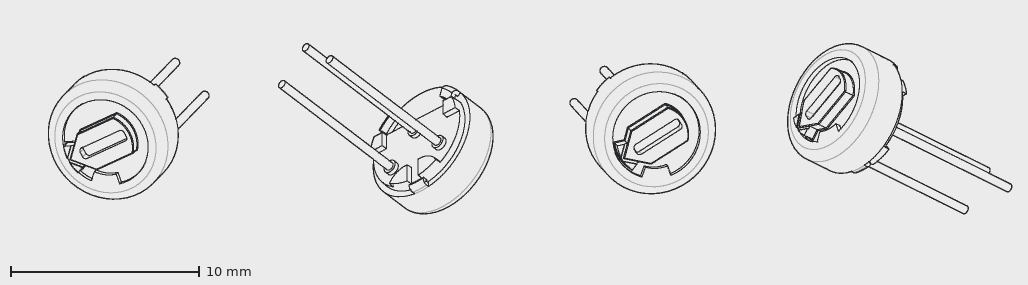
import cadquery as cq
import math

HOUSING_RADIUS = 3.34
HOUSING_DEPTH = 2.26
FRONT_EDGE_RADIUS = 0.5
TOTAL_LENGTH = 12.29

RECESS_RADIUS = 2.4
RECESS_DEPTH = 0.3
STOP_INNER_RADIUS = 1.83
STOP_ANGLE = 270.0
STOP_HALF_ANGLE = 19.5

DIAL_ANGLE = 210.0
DIAL_HEIGHT = 0.36
DIAL_HALF_WIDTH = 1.1
DIAL_TAIL_RADIUS = 1.68
DIAL_TIP = 2.18
DIAL_SHOULDER = DIAL_TIP - DIAL_HALF_WIDTH
DIAL_CHAMFER = 0.05
FOOT_CHAMFER = 0.05
FOOT_SLOPE_ANGLE = 45.0
SLOT_LENGTH = 2.83
SLOT_WIDTH = 0.64
SLOT_CORNER_RADIUS = 0.18
SLOT_DEPTH = 0.55

FLANK_RADIUS = 2.26
FLANK_HALF_ANGLE = 21.0
GROOVE_WIDTH = 0.15
GROOVE_DEPTH = 0.07

DRAFT_ANGLE = 3.0
BASE_RADIUS = 3.0
BASE_FLAT = 1.32
BASE_DEPTH = 0.4
STANDOFF_DEPTH = 0.74
SIDE_STANDOFF_INNER = 2.06
SIDE_STANDOFF_BOTTOM = 0.33
LOWER_STANDOFF_INNER = 0.35
LOWER_STANDOFF_TOP = -1.8
LOWER_ARC_START = 0.5
LOWER_ARC_RADIUS = 1.29

TAB_ANGLES = (45.0, 135.0, 270.0)
TAB_WIDTH = 0.97
TAB_THICKNESS = 0.26
TAB_HEIGHT = 0.45
TAB_BEND_RADIUS = 0.3
TAB_TIP_RADIUS = 2.64
TAB_TIP_HEIGHT = 0.28
TAB_GAP_TIP_RADIUS = 2.74
TAB_GAP_HEIGHT = 0.18

PIN_RADIUS = 0.23
PIN_SPACING = 1.65
SIDE_PIN_HEIGHT = -1.24
MIDDLE_PIN_HEIGHT = 0.43
COLLAR_RADIUS = 0.38
COLLAR_DEPTH = 0.66

REAR_END = TOTAL_LENGTH - DIAL_HEIGHT


def sketch(y):
    """Workplane at depth y: local x is X, local y is Z; a negative extrusion goes to the rear (+Y)."""
    return cq.Workplane(cq.Plane(origin=(0, y, 0), xDir=(1, 0, 0), normal=(0, -1, 0)))


def polar(radius, degrees):
    angle = math.radians(degrees)
    return (radius * math.cos(angle), radius * math.sin(angle))


def disk(radius, y, depth):
    return sketch(y).circle(radius).extrude(-depth)


def sector(inner, outer, middle_angle, half_angle, y, depth):
    """Ring sector centred on middle_angle."""
    start = middle_angle - half_angle
    end = middle_angle + half_angle
    return (
        sketch(y)
        .moveTo(*polar(inner, start))
        .lineTo(*polar(outer, start))
        .threePointArc(polar(outer, middle_angle), polar(outer, end))
        .lineTo(*polar(inner, end))
        .threePointArc(polar(inner, middle_angle), polar(inner, start))
        .close()
        .extrude(-depth)
    )


def turn_about_y(body, degrees):
    """Turn counter-clockwise as seen from the front."""
    return body.rotate((0, 0, 0), (0, -1, 0), degrees)


def make_housing():
    housing = disk(HOUSING_RADIUS, 0, HOUSING_DEPTH).edges("<Y").fillet(FRONT_EDGE_RADIUS)
    recess = disk(RECESS_RADIUS, 0, RECESS_DEPTH)
    stop = sector(STOP_INNER_RADIUS, RECESS_RADIUS, STOP_ANGLE, STOP_HALF_ANGLE, 0, RECESS_DEPTH)
    return housing.cut(recess.cut(stop))


def dial_outline(workplane):
    """Arrow pointing to local +X with a round tail."""
    tail = -math.sqrt(DIAL_TAIL_RADIUS**2 - DIAL_HALF_WIDTH**2)
    return (
        workplane.moveTo(DIAL_TIP, 0)
        .lineTo(DIAL_SHOULDER, DIAL_HALF_WIDTH)
        .lineTo(tail, DIAL_HALF_WIDTH)
        .threePointArc((-DIAL_TAIL_RADIUS, 0), (tail, -DIAL_HALF_WIDTH))
        .lineTo(DIAL_SHOULDER, -DIAL_HALF_WIDTH)
        .close()
    )


def flank_outline(workplane):
    """Pie slice around local +X that reaches past both sides of the dial tip."""
    return (
        workplane.lineTo(*polar(FLANK_RADIUS, -FLANK_HALF_ANGLE))
        .threePointArc((FLANK_RADIUS, 0), polar(FLANK_RADIUS, FLANK_HALF_ANGLE))
        .close()
    )


def raise_from_recess(outline):
    """Full-height body standing on the recess floor, with a chamfered foot."""
    body = outline(sketch(-DIAL_HEIGHT)).extrude(-(DIAL_HEIGHT + RECESS_DEPTH))
    foot = (
        outline(sketch(RECESS_DEPTH))
        .offset2D(FOOT_CHAMFER, "intersection")
        .extrude(FOOT_CHAMFER, taper=FOOT_SLOPE_ANGLE)
    )
    return body, foot


def make_dial():
    arrow, arrow_foot = raise_from_recess(dial_outline)
    arrow = arrow.faces("<Y").chamfer(DIAL_CHAMFER)
    flanks, flank_foot = raise_from_recess(flank_outline)
    groove = (
        dial_outline(sketch(-DIAL_HEIGHT))
        .offset2D(GROOVE_WIDTH, "intersection")
        .extrude(-GROOVE_DEPTH)
    )
    dial = flanks.cut(groove).union(flank_foot).union(arrow).union(arrow_foot)
    return turn_about_y(dial, DIAL_ANGLE)


def make_slot():
    slot = (
        sketch(-DIAL_HEIGHT)
        .rect(SLOT_LENGTH, SLOT_WIDTH)
        .extrude(-SLOT_DEPTH)
        .edges("|Y")
        .fillet(SLOT_CORNER_RADIUS)
    )
    return turn_about_y(slot, DIAL_ANGLE)


def below_flat():
    """Tall block whose drafted top cuts the base flat."""
    size = 4 * BASE_RADIUS
    return (
        sketch(HOUSING_DEPTH)
        .center(0, BASE_FLAT - size / 2)
        .rect(size, size)
        .extrude(-STANDOFF_DEPTH, taper=DRAFT_ANGLE)
    )


def side_standoff():
    """Block that starts at a fixed inner side and bottom and overshoots the base outward and upward."""
    size = BASE_RADIUS
    return (
        sketch(HOUSING_DEPTH)
        .center(SIDE_STANDOFF_INNER + size / 2, SIDE_STANDOFF_BOTTOM + size / 2)
        .rect(size, size)
        .extrude(-STANDOFF_DEPTH, taper=DRAFT_ANGLE)
    )


def lower_standoff():
    """Block with a short flat top that rounds down toward the outer side."""
    arc_centre_z = LOWER_STANDOFF_TOP - LOWER_ARC_RADIUS
    arc_middle = LOWER_ARC_RADIUS * math.sqrt(0.5)
    arc_end_x = LOWER_ARC_START + LOWER_ARC_RADIUS
    floor_z = -2 * BASE_RADIUS
    return (
        sketch(HOUSING_DEPTH)
        .moveTo(LOWER_STANDOFF_INNER, LOWER_STANDOFF_TOP)
        .lineTo(LOWER_ARC_START, LOWER_STANDOFF_TOP)
        .threePointArc(
            (LOWER_ARC_START + arc_middle, arc_centre_z + arc_middle),
            (arc_end_x, arc_centre_z),
        )
        .lineTo(arc_end_x, floor_z)
        .lineTo(LOWER_STANDOFF_INNER, floor_z)
        .close()
        .extrude(-STANDOFF_DEPTH, taper=DRAFT_ANGLE)
    )


def make_base():
    """Drafted base plate with a pair of side standoffs and a pair of lower standoffs."""
    envelope = sketch(HOUSING_DEPTH).circle(BASE_RADIUS).extrude(-STANDOFF_DEPTH, taper=DRAFT_ANGLE)
    right_standoffs = side_standoff().union(lower_standoff())
    base = (
        disk(2 * BASE_RADIUS, HOUSING_DEPTH, BASE_DEPTH)
        .union(right_standoffs)
        .union(right_standoffs.mirror("YZ"))
    )
    return envelope.intersect(below_flat()).intersect(base)


def make_tab(angle):
    """Strip of the housing wall bent inward over the base, cut from a ring of the same section."""
    rear = HOUSING_DEPTH
    bend_start = HOUSING_RADIUS - TAB_BEND_RADIUS
    bend_base = rear + TAB_HEIGHT - TAB_BEND_RADIUS
    bend_middle = TAB_BEND_RADIUS * math.sqrt(0.5)
    inner_wall = HOUSING_RADIUS - TAB_THICKNESS
    ring = (
        cq.Workplane("XY")
        .moveTo(HOUSING_RADIUS, rear)
        .lineTo(HOUSING_RADIUS, bend_base)
        .threePointArc(
            (bend_start + bend_middle, bend_base + bend_middle),
            (bend_start, rear + TAB_HEIGHT),
        )
        .lineTo(TAB_TIP_RADIUS, rear + TAB_TIP_HEIGHT)
        .lineTo(TAB_TIP_RADIUS, rear)
        .lineTo(TAB_GAP_TIP_RADIUS, rear)
        .lineTo(inner_wall, rear + TAB_GAP_HEIGHT)
        .lineTo(inner_wall, rear)
        .close()
        .revolve(360, (0, 0, 0), (0, 1, 0))
    )
    strip = sketch(rear).center(HOUSING_RADIUS, 0).rect(HOUSING_RADIUS, TAB_WIDTH).extrude(-TAB_HEIGHT)
    return turn_about_y(ring.intersect(strip), angle)


def make_pin(x, z):
    collar = disk(COLLAR_RADIUS, HOUSING_DEPTH, COLLAR_DEPTH)
    wire = disk(PIN_RADIUS, HOUSING_DEPTH, REAR_END - HOUSING_DEPTH)
    return collar.union(wire).translate((x, 0, z))


result = make_housing().union(make_dial()).cut(make_slot()).union(make_base())
for tab_angle in TAB_ANGLES:
    result = result.union(make_tab(tab_angle))
for pin_x in (-PIN_SPACING, PIN_SPACING):
    result = result.union(make_pin(pin_x, SIDE_PIN_HEIGHT))
result = result.union(make_pin(0, MIDDLE_PIN_HEIGHT))